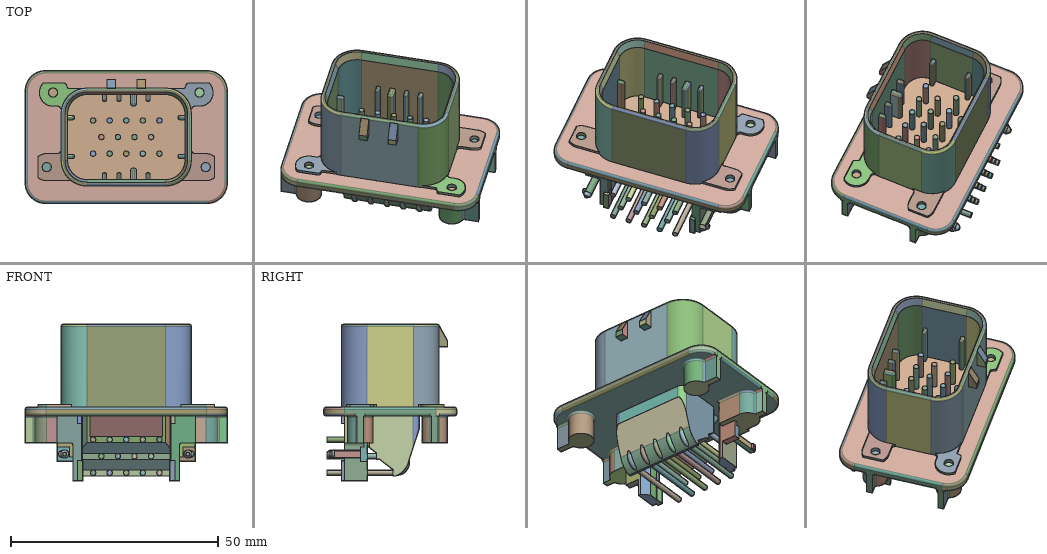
import cadquery as cq
import math


NEARLY_ALL = 0.999

FLANGE_LENGTH = 48.8
FLANGE_WIDTH = 32.1
FLANGE_THICKNESS = 2.1
FLANGE_CORNER = 5.0
FLANGE_TOP_ROUND = 0.6
FLANGE_BOTTOM_ROUND = 0.5
FLANGE_BOTTOM = -FLANGE_THICKNESS
FLANGE_MIDDLE = FLANGE_BOTTOM / 2

SHROUD_LENGTH = 31.4
SHROUD_WIDTH = 23.6
SHROUD_HEIGHT = 20.0
SHROUD_CORNER = 6.2
SHROUD_WALL = 1.55
RIM_ROUND = 0.5
LEAD_IN = 0.65
LEAD_IN_DEPTH = 2.0

HOOK_X = 3.6
HOOK_WIDTH = 2.0
HOOK_REACH = 2.05
HOOK_TOP = SHROUD_HEIGHT - 0.3
HOOK_NOSE_TOP = 16.0
HOOK_BOTTOM = 14.55

RIB_TOP = 10.3
RIB_WIDTH = 1.05
RIB_REACH = 1.65
KEY_RIB_WIDTH = 1.5
KEY_RIB_REACH = 2.8
RIB_PITCH = 3.5
RIBS_PER_WALL = 4
KEY_RIB_COLUMN = 2
SIDE_RIB_Y = 4.7
RIB_END_FLAT = 0.04
RIB_TOP_ROUND = 0.45
RIB_ROOT = SHROUD_WALL / 2

PIN_DIAMETER = 1.3
PIN_PITCH = 4.0
PIN_TOP = 7.5
PIN_TIP_Y = -15.3
PIN_BEND = 2.5
UPPER_ROW_Z = -7.83
PINS_PER_ROW = (5, 4, 5)

CARRIER_WIDTH = 21.0
CARRIER_REAR_Y = 7.0
CARRIER_REAR_ROUND = 1.5
CARRIER_SLOPE_TOP = -5.3
CARRIER_BOTTOM = -16.65
CARRIER_UPPER_FRONT_Y = -6.5
CARRIER_LOWER_FRONT_Y = 0.7
CARRIER_LEDGE = 0.7
FACE_BELOW_PIN = 0.75
FACE_ABOVE_PIN = 0.7
CARRIER_HEEL_START = (4.4, -13.2)
CARRIER_HEEL_MIDDLE = (2.95, -15.6)
CARRIER_HEEL_END = (1.2, CARRIER_BOTTOM)
CARRIER_CHAMFER_X = 1.0
CARRIER_CHAMFER_Y = 1.5
GUSSET_WIDTH = 17.5
GUSSET_REACH = 2.9

BOSS_DIAMETER = 6.1
BOSS_BOTTOM = -8.6
REAR_BOSS = (17.67, 10.73)
FRONT_BOSS = (19.18, -7.25)
BOSS_RIB = 1.5
BOSS_RIB_FILLET = 0.55
BOSS_ROOT_FILLET = 0.45
PAD_RADIUS = 3.28
PAD_HEIGHT = 0.65
PAD_REAR_EDGE = 13.0
PAD_SIDE_EDGE = 21.35
PAD_NECK_START = 15.0
PAD_NECK_END = 13.7
PAD_NECK_Y = 11.7
PAD_FLARE_START = 16.5
PAD_FLARE = 0.65
HOLE_DIAMETER = 2.2
HOLE_DEPTH = 1.0

FOOT_OUTER_X = 12.9
FOOT_INNER_X = 10.8
FOOT_INNER_REAR_X = 10.5
FOOT_PAD_INNER_X = 10.45
FOOT_PAD_OUTER_X = 11.75
FOOT_FRONT_Y = -11.07
FOOT_PAD_FRONT_Y = -SHROUD_WIDTH / 2
FOOT_REAR_Y = -5.5
FOOT_REAR_CHAMFER = 1.7
FOOT_STEP_Y = -9.7
FOOT_STEP_RAMP = 0.1
FOOT_BOTTOM = -17.8
FOOT_STEP_Z = -12.9
FOOT_STOP_Z = -4.0
FOOT_FILLET = 0.5
PLATE_OUTER_X = 16.7
EAR_INNER_X = 13.65
EAR_BOTTOM = -13.1
EAR_STEP_Z = -9.6
EAR_LEDGE_Z = -12.0
EAR_THIN_Y = -6.35
EAR_FRONT_Y = -7.13

PEG_X = 14.87
PEG_Z = -11.32
PEG_DIAMETER = 2.0
PEG_TIP_DIAMETER = 0.9
PEG_TIP_LENGTH = 0.8
PEG_FLAT_X = 15.5
PEG_BARB_X = 16.35
PEG_BARB_DIAMETER = 1.65
PEG_BARB_START_Y = -13.5
PEG_BARB_LENGTH = 0.5
PEG_BARB_END_Y = -15.2


def box(x0, x1, y0, y1, z0, z1):
    """Block between two corners."""
    return cq.Workplane("XY").box(x1 - x0, y1 - y0, z1 - z0, centered=False).translate((x0, y0, z0))


def both_sides(half):
    """A left-hand feature together with its mirror image in X."""
    return half.union(half.mirror("YZ"))


def rounded_block(length, width, corner, bottom, top):
    """Block centred on the Z axis with rounded upright edges."""
    block = cq.Workplane("XY").workplane(offset=bottom).rect(length, width).extrude(top - bottom)
    return block.edges("|Z").fillet(corner)


def make_flange():
    flange = rounded_block(FLANGE_LENGTH, FLANGE_WIDTH, FLANGE_CORNER, FLANGE_BOTTOM, 0)
    return flange.faces(">Z").edges().fillet(FLANGE_TOP_ROUND)


def make_bottom_rounding():
    """Sliver that rounds the flange's lower rim, interrupted where the boss ribs reach it."""
    slab_top = FLANGE_BOTTOM + FLANGE_BOTTOM_ROUND
    slab = rounded_block(FLANGE_LENGTH, FLANGE_WIDTH, FLANGE_CORNER, FLANGE_BOTTOM, slab_top)
    sliver = slab.cut(slab.faces("<Z").edges().fillet(FLANGE_BOTTOM_ROUND * NEARLY_ALL))
    half_gap = BOSS_RIB / 2 + BOSS_ROOT_FILLET
    for y in (REAR_BOSS[1], FRONT_BOSS[1]):
        sliver = sliver.cut(box(-FLANGE_LENGTH, FLANGE_LENGTH, y - half_gap, y + half_gap,
                                FLANGE_BOTTOM, slab_top))
    return sliver


def make_flange_with_bosses():
    """Flange and screw bosses, blended at the boss roots."""
    body = make_flange().union(make_bosses())
    margin = 0.05
    reach_x = FLANGE_LENGTH / 2 - margin
    reach_y = REAR_BOSS[1] + BOSS_DIAMETER / 2
    roots = cq.selectors.BoxSelector(
        (-reach_x, -reach_y, FLANGE_BOTTOM - margin),
        (reach_x, reach_y, FLANGE_BOTTOM + margin),
    )
    body = body.edges(roots).fillet(BOSS_ROOT_FILLET)
    return body.cut(make_bottom_rounding())


def make_shroud():
    outer = rounded_block(SHROUD_LENGTH, SHROUD_WIDTH, SHROUD_CORNER, FLANGE_MIDDLE, SHROUD_HEIGHT)
    return outer.faces(">Z").edges().fillet(RIM_ROUND)


def make_cavity():
    """Space inside the shroud, down to the floor, with a flared mouth."""
    length = SHROUD_LENGTH - 2 * SHROUD_WALL
    width = SHROUD_WIDTH - 2 * SHROUD_WALL
    corner = SHROUD_CORNER - SHROUD_WALL
    bore = rounded_block(length, width, corner, 0, SHROUD_HEIGHT)
    mouth = rounded_block(
        length + 2 * LEAD_IN, width + 2 * LEAD_IN, corner + LEAD_IN,
        SHROUD_HEIGHT - LEAD_IN_DEPTH, SHROUD_HEIGHT,
    )
    mouth = mouth.faces("<Z").edges().chamfer(LEAD_IN_DEPTH * NEARLY_ALL, LEAD_IN * NEARLY_ALL)
    return bore.union(mouth)


def make_hooks():
    wall = SHROUD_WIDTH / 2
    root = wall - SHROUD_WALL / 2
    nose = wall + HOOK_REACH
    profile = [
        (root, HOOK_TOP), (wall, HOOK_TOP), (nose, HOOK_NOSE_TOP), (nose, HOOK_BOTTOM), (root, HOOK_BOTTOM),
    ]
    hook = cq.Workplane("YZ").polyline(profile).close().extrude(HOOK_WIDTH / 2, both=True)
    return both_sides(hook.translate((-HOOK_X, 0, 0)))


def make_rib(width, reach):
    """Rib along +X from the origin, its free end and top rounded."""
    rib = box(-RIB_ROOT, reach, -width / 2, width / 2, 0, RIB_TOP)
    rib = rib.edges("|Z and >X").fillet(width / 2 - RIB_END_FLAT)
    return rib.faces(">Z").edges("not <X").fillet(RIB_TOP_ROUND)


def make_inner_ribs():
    narrow = make_rib(RIB_WIDTH, RIB_REACH)
    key = make_rib(KEY_RIB_WIDTH, KEY_RIB_REACH)
    wall_x = SHROUD_LENGTH / 2 - SHROUD_WALL
    wall_y = SHROUD_WIDTH / 2 - SHROUD_WALL
    ribs = cq.Workplane("XY")
    for column in range(RIBS_PER_WALL):
        x = (column - (RIBS_PER_WALL - 1) / 2) * RIB_PITCH
        rib = key if column == KEY_RIB_COLUMN else narrow
        for side in (-1, 1):
            turned = rib.rotate((0, 0, 0), (0, 0, 1), -90 * side)
            ribs = ribs.add(turned.translate((x, side * wall_y, 0)))
    for y in (-SIDE_RIB_Y, SIDE_RIB_Y):
        ribs = ribs.add(narrow.translate((-wall_x, y, 0)))
        ribs = ribs.add(narrow.rotate((0, 0, 0), (0, 0, 1), 180).translate((wall_x, y, 0)))
    return ribs.combine()


def make_pin(x, y, exit_z):
    """Round pin that drops from the shroud and bends forward towards -Y."""
    half_turn = PIN_BEND * (1 - math.sqrt(0.5))
    path = (
        cq.Workplane("YZ", origin=(x, 0, 0))
        .moveTo(y, PIN_TOP)
        .lineTo(y, exit_z + PIN_BEND)
        .threePointArc((y - half_turn, exit_z + half_turn), (y - PIN_BEND, exit_z))
        .lineTo(PIN_TIP_Y, exit_z)
    )
    return cq.Workplane("XY", origin=(x, y, PIN_TOP)).circle(PIN_DIAMETER / 2).sweep(path)


def make_pins():
    pins = cq.Workplane("XY")
    last_row = len(PINS_PER_ROW) - 1
    for row, count in enumerate(PINS_PER_ROW):
        y = (last_row / 2 - row) * PIN_PITCH
        exit_z = UPPER_ROW_Z - (last_row - row) * PIN_PITCH
        for column in range(count):
            x = (column - (count - 1) / 2) * PIN_PITCH
            pins = pins.add(make_pin(x, y, exit_z))
    return pins.combine()


def make_carrier():
    """Stepped block that holds the bent pins, one upright face for each row."""
    middle_face = CARRIER_LOWER_FRONT_Y - PIN_PITCH
    lower_z = UPPER_ROW_Z - 2 * PIN_PITCH
    middle_z = UPPER_ROW_Z - PIN_PITCH
    outline = (
        cq.Workplane("YZ")
        .moveTo(CARRIER_REAR_Y, FLANGE_MIDDLE)
        .lineTo(CARRIER_REAR_Y, CARRIER_SLOPE_TOP)
        .lineTo(*CARRIER_HEEL_START)
        .threePointArc(CARRIER_HEEL_MIDDLE, CARRIER_HEEL_END)
        .lineTo(CARRIER_LOWER_FRONT_Y, CARRIER_BOTTOM)
        .lineTo(CARRIER_LOWER_FRONT_Y, lower_z + FACE_ABOVE_PIN)
        .lineTo(middle_face + CARRIER_LEDGE, middle_z - FACE_BELOW_PIN)
        .lineTo(middle_face, middle_z - FACE_BELOW_PIN)
        .lineTo(middle_face, middle_z + FACE_ABOVE_PIN)
        .lineTo(CARRIER_UPPER_FRONT_Y, UPPER_ROW_Z - FACE_BELOW_PIN)
        .lineTo(CARRIER_UPPER_FRONT_Y, FLANGE_MIDDLE)
        .close()
    )
    block = outline.extrude(CARRIER_WIDTH / 2, both=True)
    block = block.edges("|Z and >Y").fillet(CARRIER_REAR_ROUND)
    half = CARRIER_WIDTH / 2
    corner = (
        cq.Workplane("XY")
        .polyline([
            (-half, CARRIER_UPPER_FRONT_Y),
            (-half, CARRIER_UPPER_FRONT_Y + CARRIER_CHAMFER_Y),
            (-half + CARRIER_CHAMFER_X, CARRIER_UPPER_FRONT_Y),
        ])
        .close()
        .extrude(CARRIER_BOTTOM)
    )
    gusset = (
        cq.Workplane("YZ")
        .polyline([
            (CARRIER_UPPER_FRONT_Y, UPPER_ROW_Z + FACE_ABOVE_PIN),
            (CARRIER_UPPER_FRONT_Y, FLANGE_BOTTOM),
            (CARRIER_UPPER_FRONT_Y - GUSSET_REACH, FLANGE_BOTTOM),
        ])
        .close()
        .extrude(GUSSET_WIDTH / 2, both=True)
    )
    return block.cut(both_sides(corner)).union(gusset)


def make_boss(place):
    """Left-hand screw boss with a rib out to the flange edge, filleted into it."""
    x, y = place
    height = FLANGE_BOTTOM - BOSS_BOTTOM
    boss = cq.Workplane("XY", origin=(-x, y, BOSS_BOTTOM)).circle(BOSS_DIAMETER / 2).extrude(height)
    rib = box(-FLANGE_LENGTH / 2, -x, y - BOSS_RIB / 2, y + BOSS_RIB / 2, BOSS_BOTTOM, FLANGE_BOTTOM)
    boss = boss.union(rib)
    crossing = math.sqrt((BOSS_DIAMETER / 2) ** 2 - (BOSS_RIB / 2) ** 2)
    margin = 0.1
    corners = cq.selectors.BoxSelector(
        (-x - crossing - margin, y - BOSS_RIB, BOSS_BOTTOM),
        (-x - crossing + margin, y + BOSS_RIB, FLANGE_BOTTOM),
    )
    return boss.edges("|Z").edges(corners).fillet(BOSS_RIB_FILLET)


def make_bosses():
    front_x, front_y = FRONT_BOSS
    front = make_boss(FRONT_BOSS).union(box(
        -front_x, -FOOT_OUTER_X, front_y - BOSS_DIAMETER / 2, front_y + BOSS_DIAMETER / 2,
        BOSS_BOTTOM, FLANGE_BOTTOM,
    ))
    return both_sides(make_boss(REAR_BOSS).union(front))


def make_rear_pad():
    x, y = REAR_BOSS
    chord = math.sqrt(PAD_RADIUS**2 - (PAD_REAR_EDGE - y) ** 2)
    inner_x = SHROUD_LENGTH / 2 - SHROUD_CORNER
    neck_middle = (-(PAD_NECK_START + PAD_NECK_END) / 2, (PAD_REAR_EDGE + PAD_NECK_Y) / 2)
    low = y - PAD_RADIUS
    wall_x = SHROUD_LENGTH / 2
    return (
        cq.Workplane("XY")
        .moveTo(-x - chord, PAD_REAR_EDGE)
        .lineTo(-PAD_NECK_START, PAD_REAR_EDGE)
        .spline([neck_middle, (-PAD_NECK_END, PAD_NECK_Y)], tangents=[(1, 0), (1, 0)], includeCurrent=True)
        .lineTo(-inner_x, PAD_NECK_Y)
        .lineTo(-inner_x, low - PAD_FLARE)
        .lineTo(-wall_x, low - PAD_FLARE)
        .spline([(-PAD_FLARE_START, low)], tangents=[(-1, 1), (-1, 0)], includeCurrent=True)
        .lineTo(-x, low)
        .threePointArc((-x - PAD_RADIUS, y), (-x - chord, PAD_REAR_EDGE))
        .close()
        .extrude(PAD_HEIGHT)
    )


def make_front_pad():
    x, y = FRONT_BOSS
    chord = math.sqrt(PAD_RADIUS**2 - (PAD_SIDE_EDGE - x) ** 2)
    side_angle = math.acos((PAD_SIDE_EDGE - x) / PAD_RADIUS)
    middle = (side_angle + math.pi / 2) / 2
    bulge = (PAD_RADIUS * math.cos(middle), PAD_RADIUS * math.sin(middle))
    inner_x = SHROUD_LENGTH / 2 - SHROUD_CORNER
    wall_x = SHROUD_LENGTH / 2
    top = y + PAD_RADIUS
    return (
        cq.Workplane("XY")
        .moveTo(-PAD_SIDE_EDGE, y + chord)
        .threePointArc((-x - bulge[0], y + bulge[1]), (-x, top))
        .lineTo(-PAD_FLARE_START, top)
        .spline([(-wall_x, top + PAD_FLARE)], tangents=[(1, 0), (1, 1)], includeCurrent=True)
        .lineTo(-inner_x, top + PAD_FLARE)
        .lineTo(-inner_x, y - PAD_RADIUS)
        .lineTo(-x, y - PAD_RADIUS)
        .threePointArc((-x - bulge[0], y - bulge[1]), (-PAD_SIDE_EDGE, y - chord))
        .close()
        .extrude(PAD_HEIGHT)
    )


def make_screw_holes():
    places = [(side * x, y) for x, y in (REAR_BOSS, FRONT_BOSS) for side in (-1, 1)]
    top = cq.Workplane("XY").workplane(offset=PAD_HEIGHT)
    return top.pushPoints(places).circle(HOLE_DIAMETER / 2).extrude(-HOLE_DEPTH)


def make_foot():
    """Left-hand foot: a leg beside the carrier, a mounting plate and the peg's ear."""
    leg_outline = [
        (-FOOT_OUTER_X, FOOT_FRONT_Y), (-FOOT_INNER_X, FOOT_FRONT_Y),
        (-FOOT_INNER_X, FOOT_STEP_Y), (-FOOT_INNER_REAR_X, FOOT_STEP_Y + FOOT_STEP_RAMP),
        (-FOOT_INNER_REAR_X, FOOT_REAR_Y - FOOT_REAR_CHAMFER),
        (-FOOT_INNER_REAR_X - FOOT_REAR_CHAMFER, FOOT_REAR_Y), (-FOOT_OUTER_X, FOOT_REAR_Y),
    ]
    leg_base = cq.Workplane("XY").workplane(offset=FOOT_BOTTOM)
    leg = leg_base.polyline(leg_outline).close().extrude(FLANGE_BOTTOM - FOOT_BOTTOM)
    plate = box(-PLATE_OUTER_X, -FOOT_OUTER_X, FOOT_FRONT_Y, FOOT_REAR_Y, BOSS_BOTTOM, FLANGE_BOTTOM)
    foot = leg.union(plate)
    inside_corner = cq.selectors.NearestToPointSelector(
        (-FOOT_OUTER_X, (FOOT_FRONT_Y + FOOT_REAR_Y) / 2, BOSS_BOTTOM)
    )
    foot = foot.edges("|Y").edges(inside_corner).fillet(FOOT_FILLET)
    stop = box(-FOOT_PAD_OUTER_X, -FOOT_INNER_X, FOOT_PAD_FRONT_Y, FOOT_STEP_Y, FOOT_STOP_Z, FLANGE_BOTTOM)
    pad = box(-FOOT_PAD_OUTER_X, -FOOT_PAD_INNER_X, FOOT_PAD_FRONT_Y, FOOT_STEP_Y, FOOT_BOTTOM, FOOT_STEP_Z)
    thin_ear = box(-PLATE_OUTER_X, -FOOT_OUTER_X, EAR_THIN_Y, FOOT_REAR_Y, EAR_BOTTOM, BOSS_BOTTOM)
    ear = box(-PLATE_OUTER_X, -EAR_INNER_X, EAR_FRONT_Y, FOOT_REAR_Y, EAR_BOTTOM, EAR_STEP_Z)
    ledge = box(-PLATE_OUTER_X, -FOOT_OUTER_X, EAR_FRONT_Y, FOOT_REAR_Y, EAR_BOTTOM, EAR_LEDGE_Z)
    for piece in (stop, pad, thin_ear, ear, ledge):
        foot = foot.union(piece)
    return foot


def make_peg():
    """Left-hand peg pointing towards -Y: a round pin, flat on its outer side up to a tapered barb."""
    length = FOOT_REAR_Y - PIN_TIP_Y
    root = (-PEG_X, FOOT_REAR_Y, PEG_Z)
    round_pin = cq.Workplane("XZ", origin=root).circle(PEG_DIAMETER / 2).extrude(length)
    tip_inset = (PEG_DIAMETER - PEG_TIP_DIAMETER) / 2
    round_pin = round_pin.faces("<Y").edges().chamfer(PEG_TIP_LENGTH, tip_inset)
    flat = box(-PEG_X - PEG_DIAMETER, -PEG_FLAT_X, PEG_BARB_START_Y, EAR_FRONT_Y,
               PEG_Z - PEG_DIAMETER, PEG_Z + PEG_DIAMETER)
    barb_radius = PEG_BARB_DIAMETER / 2
    barb_x = barb_radius - PEG_BARB_X
    barb_root = (barb_x, PEG_BARB_START_Y, PEG_Z)
    barb = cq.Workplane("XZ", origin=barb_root).circle(barb_radius).extrude(PEG_BARB_LENGTH)
    taper_start_y = PEG_BARB_START_Y - PEG_BARB_LENGTH
    taper = (
        cq.Workplane("XZ", origin=(barb_x, taper_start_y, PEG_Z))
        .circle(barb_radius)
        .workplane(offset=taper_start_y - PEG_BARB_END_Y)
        .center(-PEG_X - barb_x, 0)
        .circle(PEG_TIP_DIAMETER / 2)
        .loft()
    )
    return round_pin.cut(flat).union(barb).union(taper)


result = make_flange_with_bosses().union(make_shroud())
result = result.union(both_sides(make_rear_pad().union(make_front_pad())))
result = result.union(make_carrier())
result = result.union(both_sides(make_foot().union(make_peg())))
result = result.union(make_hooks()).cut(make_cavity())
result = result.union(make_inner_ribs()).union(make_pins())
result = result.cut(make_screw_holes())